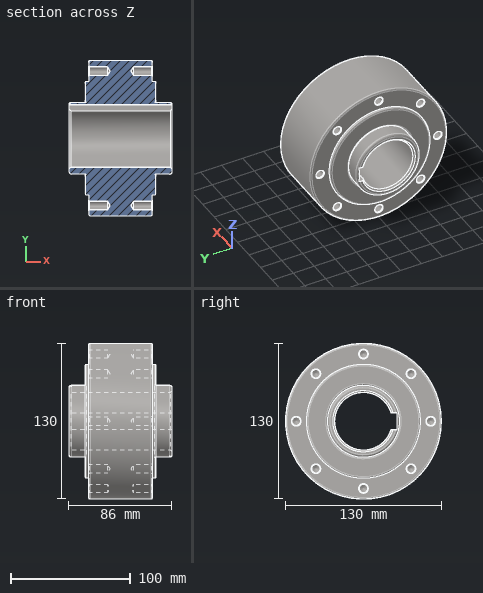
import cadquery as cq
import math

ring_diameter = 130.0
ring_width = 53.0
shoulder_diameter = 95.0
shoulder_width = 59.0
edge_rounding = 1.3

hub_diameter = 60.0
hub_length = 86.0
hub_rounding = 2.1

bore_diameter = 48.0
bore_chamfer = 1.5
keyway_width = 14.0
keyway_floor = 27.8

hole_count = 8
hole_circle_diameter = 112.0
hole_diameter = 7.0
hole_chamfer = 0.5
hole_depth = 15.6
hole_tip_angle = 118.0


def rounded_disc(diameter, width, rounding):
    """Solid cylinder along X, centred on the origin, with both rims rounded."""
    disc = cq.Workplane("YZ", origin=(-width / 2, 0, 0)).circle(diameter / 2).extrude(width)
    return disc.faces("<X or >X").edges().fillet(rounding)


def make_hub_groove():
    """Ring-shaped cutters that round the inner rims of the shoulder where they meet the hub."""
    hub_radius = hub_diameter / 2
    face_x = shoulder_width / 2
    arc_offset = edge_rounding * (1 - math.sqrt(0.5))
    groove = (
        cq.Workplane("XY")
        .moveTo(face_x, hub_radius)
        .lineTo(face_x - edge_rounding, hub_radius)
        .threePointArc(
            (face_x - arc_offset, hub_radius + arc_offset),
            (face_x, hub_radius + edge_rounding),
        )
        .close()
        .revolve(360, (0, 0, 0), (1, 0, 0))
    )
    return groove.union(groove.mirror("YZ"))


def make_bore():
    """Through bore with a chamfer at each end of the hub."""
    half_length = hub_length / 2
    radius = bore_diameter / 2
    return (
        cq.Workplane("XY")
        .moveTo(-half_length, 0)
        .lineTo(-half_length, radius + bore_chamfer)
        .lineTo(-half_length + bore_chamfer, radius)
        .lineTo(half_length - bore_chamfer, radius)
        .lineTo(half_length, radius + bore_chamfer)
        .lineTo(half_length, 0)
        .close()
        .revolve(360, (0, 0, 0), (1, 0, 0))
    )


def make_keyway():
    """Through keyway on the +Y side of the bore."""
    return cq.Workplane("XY").box(hub_length, keyway_floor, keyway_width).translate((0, keyway_floor / 2, 0))


def make_face_holes():
    """Blind drilled holes with chamfered mouths, evenly spaced on both faces of the ring."""
    face_x = ring_width / 2
    radius = hole_diameter / 2
    tip_length = radius / math.tan(math.radians(hole_tip_angle / 2))
    first_hole = (
        cq.Workplane("XY")
        .moveTo(face_x, 0)
        .lineTo(face_x, radius + hole_chamfer)
        .lineTo(face_x - hole_chamfer, radius)
        .lineTo(face_x - hole_depth, radius)
        .lineTo(face_x - hole_depth - tip_length, 0)
        .close()
        .revolve(360, (0, 0, 0), (1, 0, 0))
        .translate((0, hole_circle_diameter / 2, 0))
    )
    holes = cq.Workplane("XY")
    for index in range(hole_count):
        hole = first_hole.rotate((0, 0, 0), (1, 0, 0), index * 360 / hole_count)
        holes = holes.add(hole).add(hole.mirror("YZ"))
    return holes.combine()


ring = rounded_disc(ring_diameter, ring_width, edge_rounding)
shoulder = rounded_disc(shoulder_diameter, shoulder_width, edge_rounding)
hub = rounded_disc(hub_diameter, hub_length, hub_rounding)

result = (
    ring.union(shoulder)
    .cut(make_hub_groove())
    .union(hub)
    .cut(make_bore())
    .cut(make_keyway())
    .cut(make_face_holes())
)